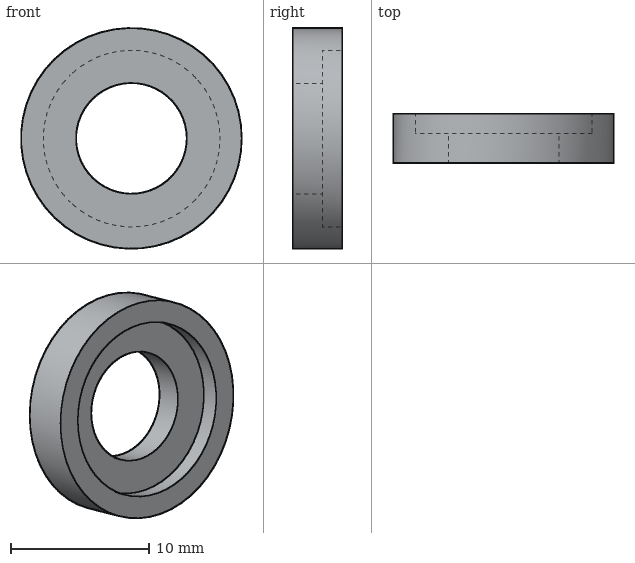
import cadquery as cq

outer_diameter = 16.0
bore_diameter = outer_diameter / 2
thickness = 3.6
recess_diameter = 12.8
recess_depth = 1.44
web_thickness = thickness - recess_depth

ring = (
    cq.Workplane("XZ")
    .circle(outer_diameter / 2)
    .circle(bore_diameter / 2)
    .extrude(-thickness)
)

recess = (
    cq.Workplane("XZ", origin=(0, web_thickness, 0))
    .circle(recess_diameter / 2)
    .extrude(-recess_depth)
)

result = ring.cut(recess)